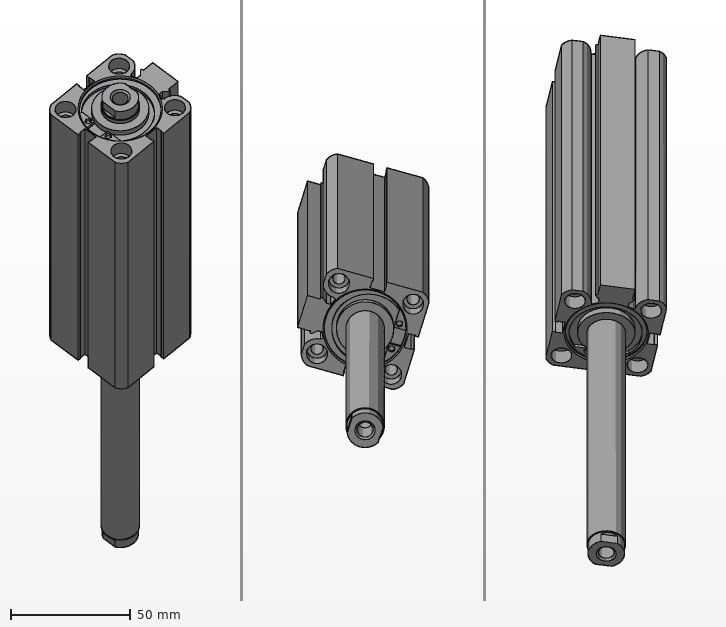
import cadquery as cq
import math

total_length = 290.0
housing_length = 150.0
housing_width = 45.0
half_width = housing_width / 2

slot_width = 6.5
slot_mouth_width = 5.8
slot_lip = 1.5
slot_depth = 4.4
slot_floor = half_width - slot_depth

rail_height = 5.0
rail_top = half_width + rail_height
rail_width = 14.8
rail_lip_width = 16.5
rail_neck_width = 12.8
rail_lip_top = 21.8
rail_lip_bottom = 21.0
rail_neck_top = 18.8

hole_offset = 16.2
hole_diameter = 5.2
counterbore_diameter = 8.7
counterbore_depth = 7.0
lobe_radius = 6.7
lobe_flank_x = 10.2
lobe_flank_y = 17.7
lobe_foot_x = 9.0
lobe_foot_y = 15.7

bore_radius = 16.0
recess_radius = 17.0
recess_chamfer = 0.5

cover_length = 23.2
cover_face_depth = 3.0
boss_diameter = 24.0

ring_thickness = 1.5
ring_opening_radius = 15.5
ring_opening_shift = 1.5
ear_inner_x = 3.8
ear_outer_x = 12.5
ear_top = 11.5
ear_hole_x = 5.8
ear_hole_y = -13.3
ear_hole_diameter = 2.5

rod_radius = 8.0
rod_top_projection = 7.5
neck_diameter = 15.5
neck_length = 5.5
width_across_flats = 13.5
flat_length = 4.4
flat_runout = 2.0
socket_diameter = 6.7
socket_depth = 13.0
socket_chamfer = 1.0
drill_tip_half_angle = 59

recess_depth = cover_face_depth + cover_length
rod_top = housing_length + rod_top_projection
rod_bottom = rod_top - total_length


def cylinder(radius, bottom, top):
    return cq.Workplane("XY").workplane(offset=bottom).circle(radius).extrude(top - bottom)


def box_between(x_range, y_range, z_range):
    size = [high - low for low, high in (x_range, y_range, z_range)]
    corner = [x_range[0], y_range[0], z_range[0]]
    return cq.Workplane("XY").box(*size, centered=False).translate(tuple(corner))


def at_both_ends(bottom_body, length):
    """The body at Z = 0 and its mirror image at the other end of the given length."""
    top_body = bottom_body.mirror("XY").translate((0, 0, length))
    return [bottom_body, top_body]


housing_span = (0, housing_length)


def housing_corners():
    """Material of the square outside the round corners."""
    corner = box_between((hole_offset, half_width), (hole_offset, half_width), housing_span)
    corner = corner.cut(cylinder(lobe_radius, *housing_span).translate((hole_offset, hole_offset, 0)))
    corners = cq.Workplane("XY")
    for angle in (0, 90, 180, 270):
        corners = corners.add(corner.rotate((0, 0, 0), (0, 0, 1), angle))
    return corners.combine()


def housing_side_gaps():
    """Open space beside the rail, down to the round wall and the two upper lobes."""
    lobe_foot_outline = [
        (hole_offset, hole_offset),
        (lobe_flank_x, lobe_flank_y),
        (lobe_foot_x, lobe_foot_y),
        (hole_offset, 0),
    ]
    gaps = box_between((-hole_offset, hole_offset), (0, rail_top), housing_span)
    gaps = gaps.cut(cylinder(slot_floor, *housing_span))
    for side in (-1, 1):
        lobe = cylinder(lobe_radius, *housing_span).translate((side * hole_offset, hole_offset, 0))
        lobe_foot = (
            cq.Workplane("XY")
            .polyline([(side * x, y) for x, y in lobe_foot_outline])
            .close()
            .extrude(housing_length)
        )
        gaps = gaps.cut(lobe).cut(lobe_foot)
    return gaps


def housing_rail():
    right_side = [
        (rail_neck_width / 2, bore_radius),
        (rail_neck_width / 2, rail_neck_top),
        (rail_lip_width / 2, rail_lip_bottom),
        (rail_lip_width / 2, rail_lip_top),
        (rail_width / 2, rail_lip_top),
        (rail_width / 2, rail_top),
    ]
    left_side = [(-x, y) for x, y in reversed(right_side)]
    return cq.Workplane("XY").polyline(right_side + left_side).close().extrude(housing_length)


def housing_slots():
    inner_x = (-slot_width / 2, slot_width / 2)
    slot = box_between(inner_x, (slot_floor, half_width - slot_lip), housing_span)
    mouth_x = (-slot_mouth_width / 2, slot_mouth_width / 2)
    slot = slot.union(box_between(mouth_x, (slot_floor, half_width), housing_span))
    slots = cq.Workplane("XY")
    for angle in (90, 180, 270):
        slots = slots.add(slot.rotate((0, 0, 0), (0, 0, 1), angle))
    return slots.combine()


def end_recess():
    recess = cylinder(recess_radius, 0, recess_depth)
    flare = (
        cq.Workplane("XY")
        .circle(recess_radius + recess_chamfer)
        .workplane(offset=recess_chamfer)
        .circle(recess_radius)
        .loft()
    )
    return recess.union(flare)


def mounting_holes(body):
    spots = [(x, y) for x in (-hole_offset, hole_offset) for y in (-hole_offset, hole_offset)]
    for end in (">Z", "<Z"):
        body = (
            body.faces(end)
            .workplane(origin=(0, 0, 0))
            .pushPoints(spots)
            .cboreHole(hole_diameter, counterbore_diameter, counterbore_depth)
        )
    return body


def make_housing():
    body = cq.Workplane("XY").rect(housing_width, housing_width).extrude(housing_length)
    body = body.cut(housing_corners()).cut(housing_side_gaps()).cut(housing_slots())
    body = body.union(housing_rail())
    body = mounting_holes(body)
    body = body.cut(cylinder(bore_radius, 0, housing_length))
    for recess in at_both_ends(end_recess(), housing_length):
        body = body.cut(recess)
    return body


def make_cover():
    """Bottom cover: a plug that fills the recess, with a boss that ends flush with the housing."""
    plug = cylinder(recess_radius, cover_face_depth, recess_depth)
    boss = cylinder(boss_diameter / 2, 0, recess_depth)
    return plug.union(boss).cut(cylinder(rod_radius, 0, recess_depth))


def make_ring():
    """Bottom ring, seated on the cover's flat face, thinning toward the gap with its two ears."""
    span = (cover_face_depth - ring_thickness, cover_face_depth)
    disc = cylinder(recess_radius, *span)
    opening = cylinder(ring_opening_radius, *span).translate((0, -ring_opening_shift, 0))
    ring = disc.cut(opening)
    y_range = (-half_width, -ear_top)
    ring = ring.union(box_between((-ear_outer_x, ear_outer_x), y_range, span).intersect(disc))
    ring = ring.cut(box_between((-ear_inner_x, ear_inner_x), y_range, span))
    for side in (-1, 1):
        hole = cylinder(ear_hole_diameter / 2, *span)
        ring = ring.cut(hole.translate((side * ear_hole_x, ear_hole_y, 0)))
    return ring


def wrench_flats():
    """Material outside the two flats at the bottom neck, running out at 45 degrees."""
    flat_distance = width_across_flats / 2
    profile = [
        (flat_distance, 0),
        (flat_distance, flat_length),
        (flat_distance + flat_runout, flat_length + flat_runout),
        (flat_distance + flat_runout, 0),
    ]
    flat = cq.Workplane("YZ").polyline(profile).close().extrude(rod_radius, both=True)
    return flat.union(flat.mirror("XZ"))


def end_socket():
    """Blind drilled hole with a chamfered mouth and a conical tip, opening downward at Z = 0."""
    radius = socket_diameter / 2
    tip_height = radius / math.tan(math.radians(drill_tip_half_angle))
    profile = [
        (0, 0),
        (radius + socket_chamfer, 0),
        (radius, socket_chamfer),
        (radius, socket_depth),
        (0, socket_depth + tip_height),
    ]
    return cq.Workplane("XZ").polyline(profile).close().revolve(360, (0, 0), (0, 1))


def make_rod():
    rod = cylinder(rod_radius, neck_length, total_length - neck_length)
    rod = rod.union(cylinder(neck_diameter / 2, 0, total_length))
    cutters = at_both_ends(wrench_flats(), total_length) + at_both_ends(end_socket(), total_length)
    for cutter in cutters:
        rod = rod.cut(cutter)
    return rod.translate((0, 0, rod_bottom))


housing = make_housing()
rod = make_rod()
covers = at_both_ends(make_cover(), housing_length)
rings = at_both_ends(make_ring(), housing_length)

bodies = [housing, rod] + covers + rings
result = cq.Compound.makeCompound([body.solids().val() for body in bodies])